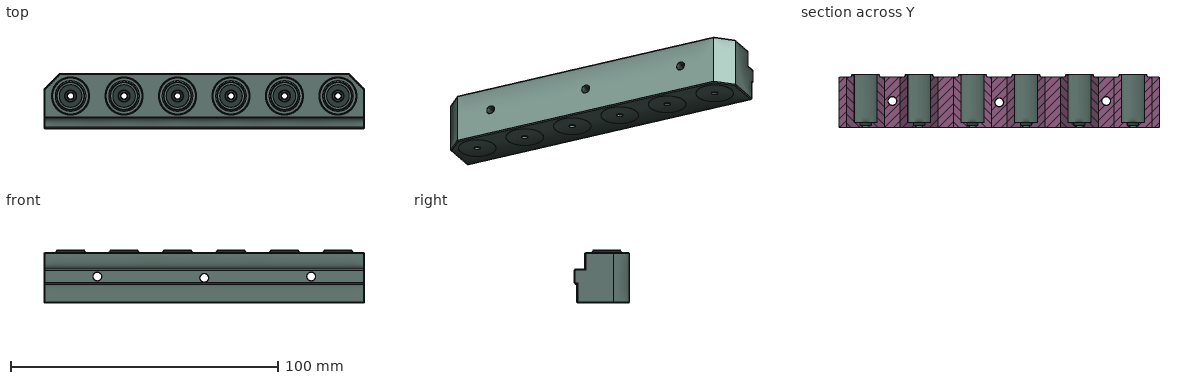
import cadquery as cq

length = 120.0
depth = 20.75
housing_height = 19.0
step_depth = 4.0
undercut_depth = 1.0
rail_height = 5.8
rail_middle = 10.0
rail_bottom = rail_middle - rail_height / 2
rail_top = rail_middle + rail_height / 2
corner_cut = 6.0
edge_chamfer = 0.4
rail_chamfer = 0.6

cross_hole_diameter = 3.2
cross_hole_spacing = 40.0
middle_hole_drop = 0.5
cross_hole_places = [
    (length / 2 - cross_hole_spacing, rail_middle),
    (length / 2, rail_middle - middle_hole_drop),
    (length / 2 + cross_hole_spacing, rail_middle),
]

bushing_count = 6
bushing_pitch = 20.0
bushing_y = 12.25
neck_height = 1.0
overall_height = housing_height + neck_height
plug_diameter = 14.05
neck_diameter = 10.45
neck_foot = 0.5
neck_chamfer = 0.2

groove_depth = 0.3
plug_chamfer = 0.3
mouth_flare = 0.1

bore_diameter = 8.45
bore_floor = 2.0
floor_hole_diameter = 4.1
floor_hole_chamfer = 0.2
outlet_diameter = 2.3
outlet_length = 1.0
outlet_chamfer = 0.23

first_bushing_x = (length - (bushing_count - 1) * bushing_pitch) / 2
bushing_places = [(first_bushing_x + i * bushing_pitch, bushing_y, 0) for i in range(bushing_count)]


def turn(half_section):
    """Revolve a (radius, height) outline around the Z axis."""
    return cq.Workplane("XZ").polyline(half_section).close().revolve(360, (0, 0), (0, 1))


def make_bar():
    end_outline = [
        (undercut_depth, 0),
        (depth, 0),
        (depth, housing_height),
        (step_depth, housing_height),
        (step_depth, rail_top),
        (0, rail_top),
        (0, rail_bottom),
        (undercut_depth, rail_bottom),
    ]
    bar = cq.Workplane("YZ").polyline(end_outline).close().extrude(length)
    bar = bar.edges("|Z and >Y").chamfer(corner_cut)
    bar = bar.faces("<Y").edges("|X").chamfer(rail_chamfer)

    top_and_bottom = bar.faces("<Z or >Z").edges().vals()
    end_edges = bar.faces("<X or >X").edges()
    sharp_uprights = end_edges.edges("|Z and >Y").vals()
    end_bevels = [edge for edge in end_edges.vals() if edge not in sharp_uprights]
    return bar.newObject(top_and_bottom + end_bevels).chamfer(edge_chamfer)


def make_plug_hole():
    hole_radius = plug_diameter / 2
    return turn([
        (0, 0),
        (hole_radius, 0),
        (hole_radius, housing_height - groove_depth),
        (hole_radius + mouth_flare, housing_height),
        (0, housing_height),
    ])


def make_housing():
    body = make_bar()
    plug_hole = make_plug_hole()
    for place in bushing_places:
        body = body.cut(plug_hole.translate(place))
    cross_holes = (
        cq.Workplane("XZ")
        .pushPoints(cross_hole_places)
        .circle(cross_hole_diameter / 2)
        .extrude(-depth)
    )
    return body.cut(cross_holes)


def make_bushing(place):
    plug_radius = plug_diameter / 2
    neck_radius = neck_diameter / 2
    bore_radius = bore_diameter / 2
    floor_hole_radius = floor_hole_diameter / 2
    outlet_radius = outlet_diameter / 2
    outside = [
        (plug_radius, 0),
        (plug_radius, housing_height - groove_depth),
        (plug_radius - plug_chamfer, housing_height),
        (neck_radius + neck_foot, housing_height),
        (neck_radius, housing_height + neck_foot),
        (neck_radius, overall_height - neck_chamfer),
        (neck_radius - neck_chamfer, overall_height),
    ]
    passage = [
        (bore_radius, overall_height),
        (bore_radius, bore_floor),
        (floor_hole_radius + floor_hole_chamfer, bore_floor),
        (floor_hole_radius, bore_floor - floor_hole_chamfer),
        (floor_hole_radius, outlet_length),
        (outlet_radius + outlet_chamfer, outlet_length),
        (outlet_radius, outlet_length - outlet_chamfer),
        (outlet_radius, 0),
    ]
    return turn(outside + passage).translate(place)


housing = make_housing()
bushings = [make_bushing(place) for place in bushing_places]

result = cq.Compound.makeCompound([housing.val(), *[bushing.val() for bushing in bushings]])